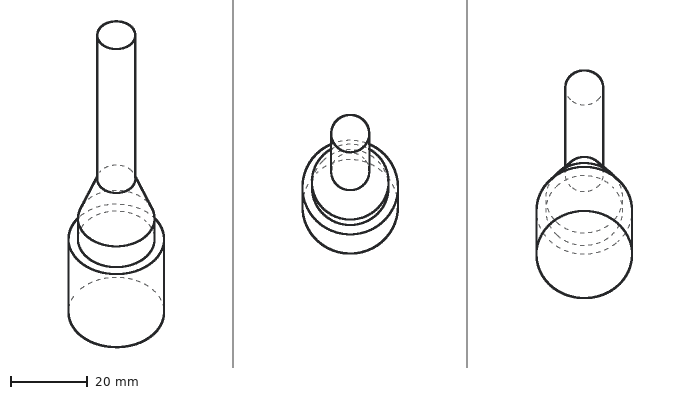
import cadquery as cq

total_height = 106.0

base_diameter = 25.0
base_height = 28.0

collar_diameter = 20.0
collar_height = 8.0

cone_height = 15.0

pin_diameter = 10.0

base_radius = base_diameter / 2
collar_radius = collar_diameter / 2
pin_radius = pin_diameter / 2

collar_top = base_height + collar_height
cone_top = collar_top + cone_height

half_profile = (
    cq.Workplane("XZ")
    .moveTo(0, 0)
    .lineTo(base_radius, 0)
    .lineTo(base_radius, base_height)
    .lineTo(collar_radius, base_height)
    .lineTo(collar_radius, collar_top)
    .lineTo(pin_radius, cone_top)
    .lineTo(pin_radius, total_height)
    .lineTo(0, total_height)
    .close()
)

result = half_profile.revolve(360, (0, 0, 0), (0, 1, 0))